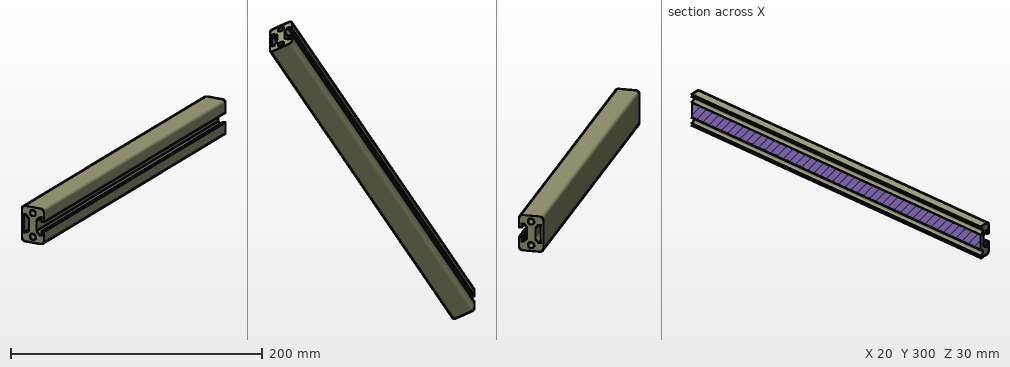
import cadquery as cq

WIDTH = 20.0
LENGTH = 300.0
HEIGHT = 30.0
CORNER_RADIUS = 3.0

WALL = 2.1
WEB_THICKNESS = 7.0
CAVITY_HEIGHT = 15.2
SHOULDER = 2.9
WEB_CORNER_RADIUS = 2.0
SLOT_OPENING = 8.2
BORE_DIAMETER = 5.0
BORE_SPACING = 20.0

HALF_WIDTH = WIDTH / 2
HALF_CAVITY = CAVITY_HEIGHT / 2


def bar_body():
    """Solid bar with its four long edges rounded."""
    return cq.Workplane("XY").box(WIDTH, LENGTH, HEIGHT).edges("|Y").fillet(CORNER_RADIUS)


def end_plane():
    """Profile plane on the -Y end; extrusions into the bar are negative."""
    return cq.Workplane("XZ", origin=(0, -LENGTH / 2, 0))


def cavity(side):
    """Full-length cavity on the left (side = -1) or right (side = 1), with rounded web corners."""
    web_x = side * WEB_THICKNESS / 2
    shoulder_x = side * (WEB_THICKNESS / 2 + SHOULDER)
    wall_x = side * (HALF_WIDTH - WALL)
    web_z = HALF_CAVITY - SHOULDER
    outline = [
        (web_x, -web_z),
        (shoulder_x, -HALF_CAVITY),
        (wall_x, -HALF_CAVITY),
        (wall_x, HALF_CAVITY),
        (shoulder_x, HALF_CAVITY),
        (web_x, web_z),
    ]
    prism = end_plane().polyline(outline).close().extrude(-LENGTH)
    facing_web = "<X" if side > 0 else ">X"
    return prism.faces(facing_web).edges("|Y").fillet(WEB_CORNER_RADIUS)


def slot_mouth():
    """Opening through the right wall into the right cavity."""
    mouth_start = WEB_THICKNESS / 2
    mouth_depth = HALF_WIDTH - mouth_start
    return (
        end_plane()
        .center(mouth_start + mouth_depth / 2, 0)
        .rect(mouth_depth, SLOT_OPENING)
        .extrude(-LENGTH)
    )


def bores():
    """Pair of full-length round bores above and below the cavities."""
    centres = [(0, -BORE_SPACING / 2), (0, BORE_SPACING / 2)]
    return end_plane().pushPoints(centres).circle(BORE_DIAMETER / 2).extrude(-LENGTH)


result = bar_body()
for side in (-1, 1):
    result = result.cut(cavity(side))
result = result.cut(slot_mouth()).cut(bores())